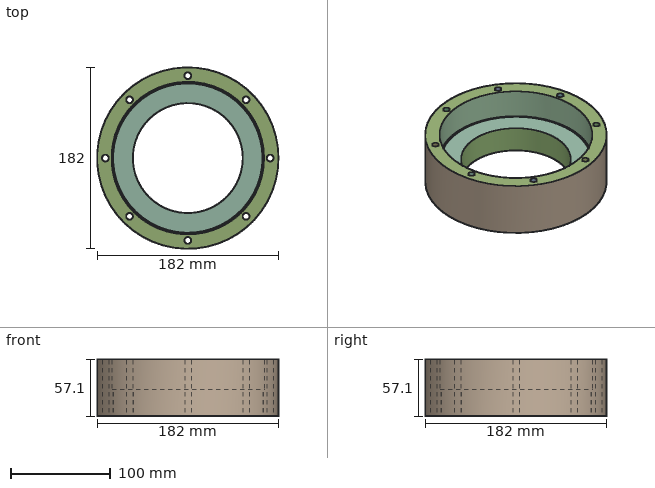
import cadquery as cq

outer_diameter = 182.0
height = 57.1
upper_bore_diameter = 153.0
lower_bore_diameter = 150.9
ledge_height = 27.1

bolt_hole_count = 8
bolt_hole_diameter = 6.5
bolt_circle_diameter = 165.0

ring_outer_diameter = 150.0
ring_inner_diameter = 110.0
ring_height = ledge_height


def make_housing():
    """Stepped tube with a circle of through holes."""
    tube = cq.Workplane("XY").circle(outer_diameter / 2).circle(lower_bore_diameter / 2).extrude(height)
    upper_bore = (
        cq.Workplane("XY")
        .workplane(offset=ledge_height)
        .circle(upper_bore_diameter / 2)
        .extrude(height - ledge_height)
    )
    bolt_holes = (
        cq.Workplane("XY")
        .polarArray(bolt_circle_diameter / 2, 0, 360, bolt_hole_count)
        .circle(bolt_hole_diameter / 2)
        .extrude(height)
    )
    return tube.cut(upper_bore).cut(bolt_holes)


def make_ring():
    """Plain flat ring, standing clear of the housing bore all round."""
    return cq.Workplane("XY").circle(ring_outer_diameter / 2).circle(ring_inner_diameter / 2).extrude(ring_height)


housing = make_housing()
ring = make_ring()

result = cq.Compound.makeCompound([housing.val(), ring.val()])